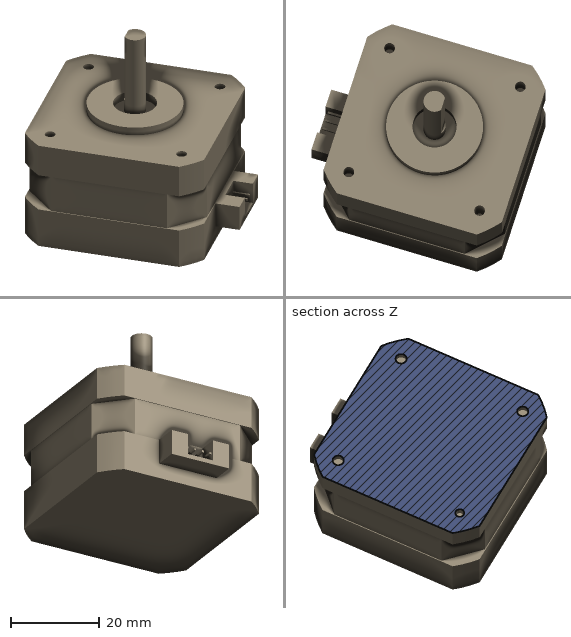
import cadquery as cq

cap_width = 42.3
cap_corner_diameter = 53.75
core_width = 41.9
core_chamfer = 7.25
lower_cap_top = 9.6
core_top = 18.6
body_top = 26.4

pilot_diameter = 22.0
pilot_height = 2.0
recess_diameter = 10.0
recess_depth = 2.0
shaft_diameter = 5.0
shaft_top = 46.35
shaft_flat_depth = 0.5
shaft_flat_length = 17.0

hole_spacing = 31.0
hole_diameter = 2.45
hole_depth = 4.5
tapered_hole_floor_diameter = 1.7

overall_length = 48.0
connector_width = 15.0
connector_top = 9.7
connector_height = 6.05
connector_floor = 1.0
slot_length = 4.6
slot_width = 6.45
pin_count = 4
pin_size = 0.5
pin_length = 4.0

cap_side = cap_width / 2
pilot_top = body_top + pilot_height
recess_floor = pilot_top - recess_depth
connector_end = overall_length - cap_side


def cylinder(diameter, bottom, top):
    return cq.Workplane("XY").workplane(offset=bottom).circle(diameter / 2).extrude(top - bottom)


def block(width, bottom, top):
    return cq.Workplane("XY").workplane(offset=bottom).rect(width, width).extrude(top - bottom)


def end_cap(bottom, top):
    """Square cap whose corners are turned to a circle about the motor axis."""
    return block(cap_width, bottom, top).intersect(cylinder(cap_corner_diameter, bottom, top))


def box_between(x_start, x_end, y_center, y_size, bottom, top):
    return (
        cq.Workplane("XY")
        .box(x_end - x_start, y_size, top - bottom, centered=(False, True, False))
        .translate((x_start, y_center, bottom))
    )


def make_body():
    core = block(core_width, lower_cap_top, core_top).edges("|Z").chamfer(core_chamfer)
    body = end_cap(0, lower_cap_top).union(core).union(end_cap(core_top, body_top))
    pilot = cylinder(pilot_diameter, body_top, pilot_top)
    recess = cylinder(recess_diameter, recess_floor, pilot_top)
    return body.union(pilot).cut(recess)


def cut_mounting_holes(body):
    """Three straight blind holes, and a tapered one in the -X +Y corner."""
    offset = hole_spacing / 2
    straight = cylinder(hole_diameter, body_top - hole_depth, body_top)
    for x, y in [(-offset, -offset), (offset, -offset), (offset, offset)]:
        body = body.cut(straight.translate((x, y, 0)))
    tapered = (
        cq.Workplane("XY", origin=(-offset, offset, body_top))
        .circle(hole_diameter / 2)
        .workplane(offset=-hole_depth)
        .circle(tapered_hole_floor_diameter / 2)
        .loft()
    )
    return body.cut(tapered)


def make_shaft():
    """Round shaft with a flat on its -X side, ending short of the recess."""
    shaft = cylinder(shaft_diameter, recess_floor, shaft_top)
    radius = shaft_diameter / 2
    flat = box_between(
        -radius, shaft_flat_depth - radius, 0, shaft_diameter, shaft_top - shaft_flat_length, shaft_top
    )
    return shaft.cut(flat)


def make_connector():
    """Housing with a slot open to the top and the +X end, holding a row of pins."""
    bottom = connector_top - connector_height
    slot_start = connector_end - slot_length
    housing = box_between(cap_side, connector_end, 0, connector_width, bottom, connector_top)
    slot = box_between(
        slot_start, connector_end, 0, slot_width, bottom + connector_floor, connector_top
    )
    connector = housing.cut(slot)
    pin_bottom = bottom + (connector_height - pin_size) / 2
    pin_pitch = (slot_width - pin_size) / (pin_count - 1)
    for index in range(pin_count):
        y = (index - (pin_count - 1) / 2) * pin_pitch
        pin = box_between(
            slot_start, slot_start + pin_length, y, pin_size, pin_bottom, pin_bottom + pin_size
        )
        connector = connector.union(pin)
    return connector


result = cut_mounting_holes(make_body()).union(make_shaft()).union(make_connector())